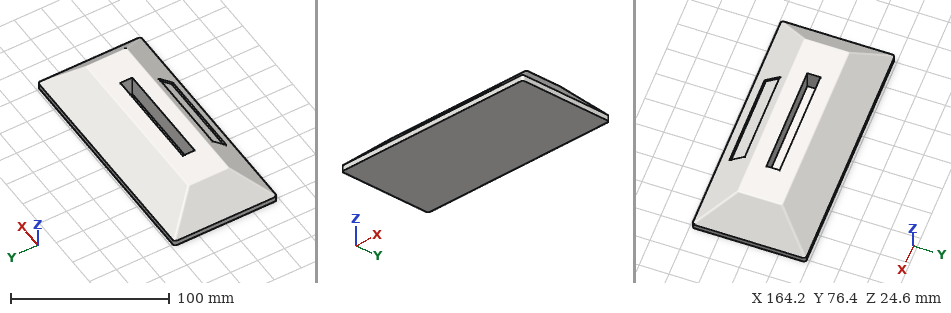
import cadquery as cq
import math

length = 164.2
width = 76.4
height = 24.6
base_height = 4.1
top_length = 123.2
top_width = 29.9
edge_radius = 2.0

slot_length = 75.0
slot_width = 8.9
slot_depth = 14.8

recess_length = 64.5
recess_width = 13.8
recess_depth = 1.3
recess_upward_shift = 0.7

slope_rise = height - base_height
slope_run = (width - top_width) / 2
slope_angle = math.atan2(slope_rise, slope_run)


def make_body():
    """Rectangular base under a tapered top, with rounded corners and top edges."""
    base = cq.Workplane("XY").rect(length, width).extrude(base_height)
    taper = (
        cq.Workplane("XY")
        .workplane(offset=base_height)
        .rect(length, width)
        .workplane(offset=slope_rise)
        .rect(top_length, top_width)
        .loft(ruled=True)
    )
    body = base.union(taper)
    rounded_edges = body.edges("(not #Z) or >Z")
    return rounded_edges.fillet(edge_radius)


def make_slot():
    top_plane = cq.Workplane("XY").workplane(offset=height)
    return top_plane.rect(slot_length, slot_width).extrude(-slot_depth)


def make_recess():
    """Rectangular cutter sunk square to the sloped -Y face."""
    slope_middle = (0, -(width + top_width) / 4, (height + base_height) / 2)
    slope_normal = (0, -math.sin(slope_angle), math.cos(slope_angle))
    slope_plane = cq.Plane(origin=slope_middle, xDir=(1, 0, 0), normal=slope_normal)
    return (
        cq.Workplane(slope_plane)
        .center(0, recess_upward_shift)
        .rect(recess_length, recess_width)
        .extrude(-recess_depth)
    )


result = make_body().cut(make_slot()).cut(make_recess())